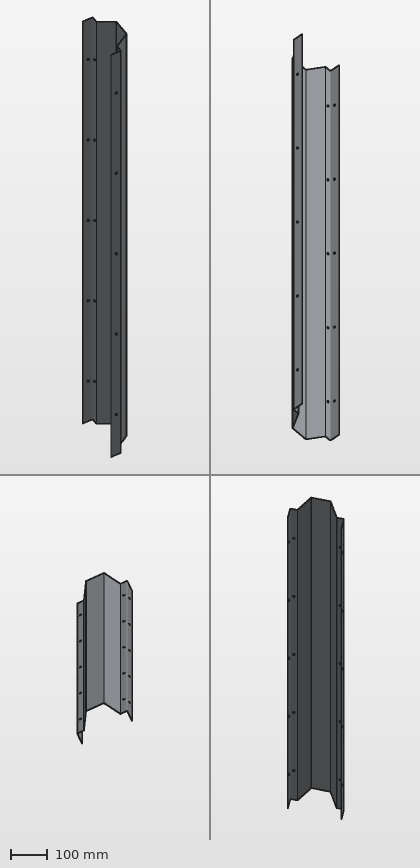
import cadquery as cq
import math

length = 1550.0
width = 152.0
depth = 79.0
thickness = 2.0

flange_depth = 33.0
crest_inner_half = 26.0
flange_bend_radius = 0.8
shelf_fold_half = 55.0

hole_diameter = 6.0
hole_pitch = 310.0
hole_count = 5
first_hole = (length - (hole_count - 1) * hole_pitch) / 2
flange_hole_y = 17.0
shelf_hole_x = 65.0

half_width = width / 2
shelf_inner_y = flange_depth - thickness
crest_inner_y = depth - thickness

web_angle = math.atan2(crest_inner_y - shelf_inner_y, shelf_fold_half - crest_inner_half)
fold_shift = thickness * math.tan(web_angle / 2)


def round_bend(sheet, x, y, radius):
    """Round the one lengthwise edge that runs through (x, y)."""
    edge = cq.selectors.NearestToPointSelector((x, y, length / 2))
    return sheet.edges("|Z").edges(edge).fillet(radius)


def make_sheet():
    """Hat-shaped section with rounded flange bends, extruded along Z."""
    right_half = [
        (crest_inner_half + fold_shift, depth),
        (shelf_fold_half + fold_shift, flange_depth),
        (half_width, flange_depth),
        (half_width, 0),
        (half_width - thickness, 0),
        (half_width - thickness, shelf_inner_y),
        (shelf_fold_half, shelf_inner_y),
        (crest_inner_half, crest_inner_y),
    ]
    left_half = [(-x, y) for x, y in reversed(right_half)]
    sheet = cq.Workplane("XY").polyline(right_half + left_half).close().extrude(length)
    for side in (-1, 1):
        sheet = round_bend(sheet, side * half_width, flange_depth, flange_bend_radius + thickness)
        sheet = round_bend(sheet, side * (half_width - thickness), shelf_inner_y, flange_bend_radius)
    return sheet


def make_hole_cutters():
    """Pins along X for both flanges and along Y for both shelves."""
    heights = [first_hole + i * hole_pitch for i in range(hole_count)]
    flange_pins = (
        cq.Workplane("YZ")
        .pushPoints([(flange_hole_y, z) for z in heights])
        .circle(hole_diameter / 2)
        .extrude(half_width + thickness, both=True)
    )
    shelf_pins = (
        cq.Workplane("XZ", origin=(0, shelf_inner_y - thickness, 0))
        .pushPoints([(side * shelf_hole_x, z) for side in (-1, 1) for z in heights])
        .circle(hole_diameter / 2)
        .extrude(-3 * thickness)
    )
    return flange_pins, shelf_pins


flange_cutters, shelf_cutters = make_hole_cutters()
result = make_sheet().cut(flange_cutters).cut(shelf_cutters)